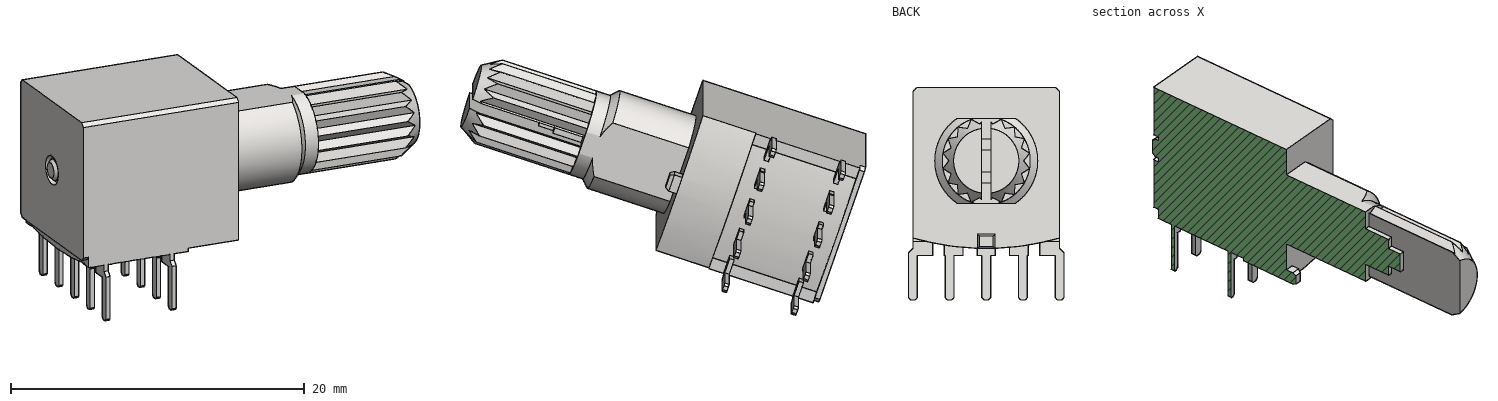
import cadquery as cq
import math


body_width = 10.0
half_width = body_width / 2
body_length = 11.3
edge_chamfer = 0.27
cover_thickness = 0.4
back_y = -(body_length + cover_thickness)

side_bottom_z = -5.5
lip_width = 0.8
main_bulge_z = -5.75
main_bulge_radius = 26.53
front_section_length = 3.8
front_bulge_z = -5.98
front_bulge_radius = 17.7

tab_width = 1.2
tab_length = 0.83
tab_bevel_depth = 0.13
tab_bevel_length = 0.27

rivet_hole_radius = 1.02
rivet_radius = 0.75
rivet_chamfer = 0.21
rivet_protrusion = 0.1

bushing_radius = 3.5
bushing_length = 5.47
collar_radius = 3.0
collar_end_y = 6.97
flat_height = 2.9

shaft_end_y = 26.8 - (rivet_protrusion - back_y)
tooth_count = 18
tooth_tip_radius = collar_radius
tooth_root_radius = 2.55
shaft_tip_radius = 2.22
tip_taper_length = 1.25
slot_width = 0.67
slot_end_y = 10.02
tongue_step_y = 8.98
tongue_base_height = 1.5
tongue_end_height = 0.75

pin_rows_y = (-5.0, -10.0)
pin_pitch = half_width / 2
pin_width = 0.62
pin_thickness = 0.32
pin_bottom_z = -9.5
pin_tip_chamfer = 0.15
shoulder_z = -6.45
pin_top_z = -5.1
outer_shoulder_inner_x = 3.65
outer_bevel_top_z = -5.95
inner_shoulder_near_x = 1.58
inner_shoulder_far_x = 2.87
centre_shoulder_half = 0.62


def along_y(start_y, end_y):
    """Sketch plane at start_y (local axes X and Z) with the distance to extrude towards end_y."""
    plane = cq.Workplane("XZ", origin=(0, start_y, 0))
    return plane, start_y - end_y


def bulge_z(lowest_z, radius, x):
    """Height of a bulged underside at a distance x from its lowest point."""
    return lowest_z + radius - math.sqrt(radius**2 - x**2)


def cylinder(radius, start_y, end_y):
    plane, depth = along_y(start_y, end_y)
    return plane.circle(radius).extrude(depth)


def section_outline(plane):
    """Start a housing outline halfway up its +X side, over the chamfered top to its -X side."""
    shoulder = half_width - edge_chamfer
    return (
        plane.moveTo(half_width, 0)
        .lineTo(half_width, shoulder)
        .lineTo(shoulder, half_width)
        .lineTo(-shoulder, half_width)
        .lineTo(-half_width, shoulder)
    )


def make_housing():
    front_plane, front_depth = along_y(0, -front_section_length)
    front_side_z = bulge_z(front_bulge_z, front_bulge_radius, half_width)
    front = (
        section_outline(front_plane)
        .lineTo(-half_width, front_side_z)
        .threePointArc((0, front_bulge_z), (half_width, front_side_z))
        .close()
        .extrude(front_depth)
    )

    main_plane, main_depth = along_y(-front_section_length, -body_length)
    lip_x = half_width - lip_width
    lip_z = bulge_z(main_bulge_z, main_bulge_radius, lip_x)
    main = (
        section_outline(main_plane)
        .lineTo(-half_width, side_bottom_z)
        .lineTo(-lip_x, side_bottom_z)
        .lineTo(-lip_x, lip_z)
        .threePointArc((0, main_bulge_z), (lip_x, lip_z))
        .lineTo(lip_x, side_bottom_z)
        .lineTo(half_width, side_bottom_z)
        .close()
        .extrude(main_depth)
    )
    return front.union(main)


def make_cover():
    """Square back cover with a rivet standing in its central hole."""
    plane, depth = along_y(-body_length, back_y)
    cover = plane.rect(body_width, body_width).extrude(depth).edges("|Y").chamfer(edge_chamfer)
    hole = cylinder(rivet_hole_radius, -body_length, back_y)
    rivet = cylinder(rivet_radius, -body_length, back_y - rivet_protrusion)
    rivet = rivet.faces("<Y").chamfer(rivet_chamfer)
    return cover.cut(hole).union(rivet)


def make_locating_tab():
    """Tab with its free end bevelled on all four sides."""
    tab_top_z = -half_width
    tab_height = tab_top_z - front_bulge_z
    root_plane, root_depth = along_y(0, tab_length - tab_bevel_length)
    tab_mid_z = tab_top_z - tab_height / 2
    root = root_plane.center(0, tab_mid_z).rect(tab_width, tab_height).extrude(root_depth)
    bevel = (
        root.faces(">Y")
        .workplane(centerOption="CenterOfBoundBox")
        .rect(tab_width, tab_height)
        .workplane(offset=tab_bevel_length)
        .rect(tab_width - 2 * tab_bevel_depth, tab_height - 2 * tab_bevel_depth)
        .loft(combine=False)
    )
    return root.union(bevel)


def make_bushing():
    """Bushing stepping down at 45 degrees to the collar, with flats above and below."""
    step_end_y = bushing_length + bushing_radius - collar_radius
    turned = (
        cq.Workplane("XY")
        .polyline([
            (0, 0),
            (bushing_radius, 0),
            (bushing_radius, bushing_length),
            (collar_radius, step_end_y),
            (collar_radius, collar_end_y),
            (0, collar_end_y),
        ])
        .close()
        .revolve(360, (0, 0), (0, 1))
    )
    plane, depth = along_y(0, collar_end_y)
    return turned.intersect(plane.rect(2 * bushing_radius, 2 * flat_height).extrude(depth))


def make_knurled_shaft():
    """V-toothed shaft with a tapered tip; a root lies on the X axis."""
    half_tooth = math.pi / tooth_count
    outline = []
    for i in range(2 * tooth_count):
        radius = tooth_tip_radius if i % 2 else tooth_root_radius
        outline.append((radius * math.cos(i * half_tooth), radius * math.sin(i * half_tooth)))
    plane, depth = along_y(collar_end_y, shaft_end_y)
    teeth = plane.polyline(outline).close().extrude(depth)

    envelope = (
        cq.Workplane("XY")
        .polyline([
            (0, collar_end_y),
            (tooth_tip_radius, collar_end_y),
            (tooth_tip_radius, shaft_end_y - tip_taper_length),
            (shaft_tip_radius, shaft_end_y),
            (0, shaft_end_y),
        ])
        .close()
        .revolve(360, (0, 0), (0, 1))
    )

    slot_plane, slot_depth = along_y(collar_end_y, shaft_end_y)
    slot = slot_plane.rect(slot_width, 2 * tooth_tip_radius).extrude(slot_depth)
    for end_y, height in ((tongue_step_y, tongue_base_height), (slot_end_y, tongue_end_height)):
        tongue_plane, tongue_depth = along_y(collar_end_y, end_y)
        slot = slot.cut(tongue_plane.rect(slot_width, 2 * height).extrude(tongue_depth))
    return teeth.intersect(envelope).cut(slot)


def make_pin(y, x, shoulder_start_x, shoulder_end_x):
    """Straight pin at x hanging from a wider shoulder block."""
    plane, depth = along_y(y + pin_thickness / 2, y - pin_thickness / 2)
    shoulder_width = shoulder_end_x - shoulder_start_x
    shoulder_mid_x = (shoulder_start_x + shoulder_end_x) / 2
    shoulder_height = pin_top_z - shoulder_z
    shoulder_mid_z = (pin_top_z + shoulder_z) / 2
    shoulder = plane.center(shoulder_mid_x, shoulder_mid_z).rect(shoulder_width, shoulder_height).extrude(depth)

    half = pin_width / 2
    blade = (
        plane.polyline([
            (x - half, shoulder_z),
            (x - half, pin_bottom_z + pin_tip_chamfer),
            (x - half + pin_tip_chamfer, pin_bottom_z),
            (x + half - pin_tip_chamfer, pin_bottom_z),
            (x + half, pin_bottom_z + pin_tip_chamfer),
            (x + half, shoulder_z),
        ])
        .close()
        .extrude(depth)
    )
    return shoulder.union(blade)


def make_outer_bevel(y):
    """Sloped lug that carries the outer half of an outermost pin past the housing side."""
    plane, depth = along_y(y + pin_thickness / 2, y - pin_thickness / 2)
    overhang = pin_width / 2
    return (
        plane.polyline([
            (half_width, shoulder_z),
            (half_width, outer_bevel_top_z),
            (half_width + overhang, outer_bevel_top_z - overhang),
            (half_width + overhang, shoulder_z),
        ])
        .close()
        .extrude(depth)
    )


def make_pin_row(y):
    row = make_pin(y, 0, -centre_shoulder_half, centre_shoulder_half)
    inner = make_pin(y, pin_pitch, inner_shoulder_near_x, inner_shoulder_far_x)
    outer = make_pin(y, 2 * pin_pitch, outer_shoulder_inner_x, half_width)
    outer = outer.union(make_outer_bevel(y))
    for pin in (inner, outer):
        row = row.union(pin).union(pin.mirror("YZ"))
    return row


result = make_housing().union(make_cover()).union(make_locating_tab())
result = result.union(make_bushing()).union(make_knurled_shaft())
for row_y in pin_rows_y:
    result = result.union(make_pin_row(row_y))